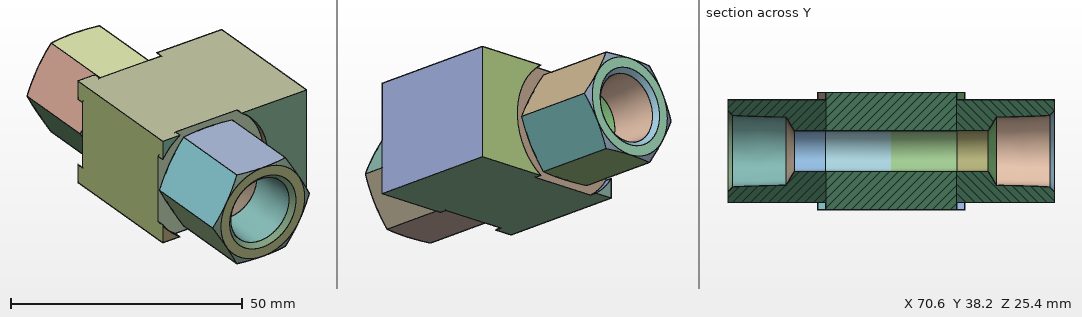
import cadquery as cq
import math


overall_length = 70.61
housing_width = 31.75
housing_height = 25.4
housing_back = 25.4
housing_front = housing_height / 2
flow_diameter = 8.74

recess_diameter = 30.16
recess_depth = 1.7
recess_floor = housing_width / 2 - recess_depth

hex_flats = 22.225
hex_corners = hex_flats / math.cos(math.radians(30))
fitting_length = overall_length / 2 - recess_floor
end_face_diameter = 22.15
corner_chamfer_angle = 20.0
corner_chamfer_length = (hex_corners - end_face_diameter) / 2 * math.tan(math.radians(corner_chamfer_angle))

port_rim_diameter = 17.55
port_mouth_diameter = 15.4
port_bottom_diameter = 14.68
port_taper = 1 / 16
port_cone_angle = 118.0
rim_chamfer_length = (port_rim_diameter - port_mouth_diameter) / 2
port_taper_length = (port_mouth_diameter - port_bottom_diameter) / port_taper
port_cone_length = (port_bottom_diameter - flow_diameter) / 2 / math.tan(math.radians(port_cone_angle / 2))


def make_housing():
    """Block with a through flow bore and a round recess in each X side."""
    block = cq.Workplane("XY").box(
        housing_width, housing_front + housing_back, housing_height, centered=(True, False, True)
    ).translate((0, -housing_front, 0))
    bore = cq.Workplane("YZ").circle(flow_diameter / 2).extrude(housing_width / 2, both=True)
    block = block.cut(bore)
    for side in (-1, 1):
        recess = cq.Workplane("YZ", origin=(side * recess_floor, 0, 0))
        block = block.cut(recess.circle(recess_diameter / 2).extrude(side * recess_depth))
    return block


def revolve_about_x(points):
    """Solid of revolution about X from an outline of (x, radius) points."""
    return cq.Workplane("XY").polyline(points).close().revolve(360, (0, 0, 0), (1, 0, 0))


def corner_envelope():
    """Round blank that bevels the hexagon corners at both ends."""
    return revolve_about_x([
        (0, 0),
        (0, end_face_diameter / 2),
        (corner_chamfer_length, hex_corners / 2),
        (fitting_length - corner_chamfer_length, hex_corners / 2),
        (fitting_length, end_face_diameter / 2),
        (fitting_length, 0),
    ])


def port_cavity():
    """Rim chamfer, tapered port, conical bottom and flow bore, from the outer end inwards."""
    taper_start = fitting_length - rim_chamfer_length
    taper_end = taper_start - port_taper_length
    return revolve_about_x([
        (0, 0),
        (0, flow_diameter / 2),
        (taper_end - port_cone_length, flow_diameter / 2),
        (taper_end, port_bottom_diameter / 2),
        (taper_start, port_mouth_diameter / 2),
        (fitting_length, port_rim_diameter / 2),
        (fitting_length, 0),
    ])


def make_fitting(side):
    """Hexagonal fitting seated on the recess floor; side is +1 for the +X side, -1 for the -X side."""
    hexagon = cq.Workplane("YZ").polygon(6, hex_corners).extrude(fitting_length)
    fitting = hexagon.intersect(corner_envelope()).cut(port_cavity())
    if side < 0:
        fitting = fitting.rotate((0, 0, 0), (0, 0, 1), 180)
    return fitting.translate((side * recess_floor, 0, 0))


housing = make_housing()
fittings = [make_fitting(side) for side in (-1, 1)]

result = cq.Compound.makeCompound([housing.val(), *[fitting.val() for fitting in fittings]])